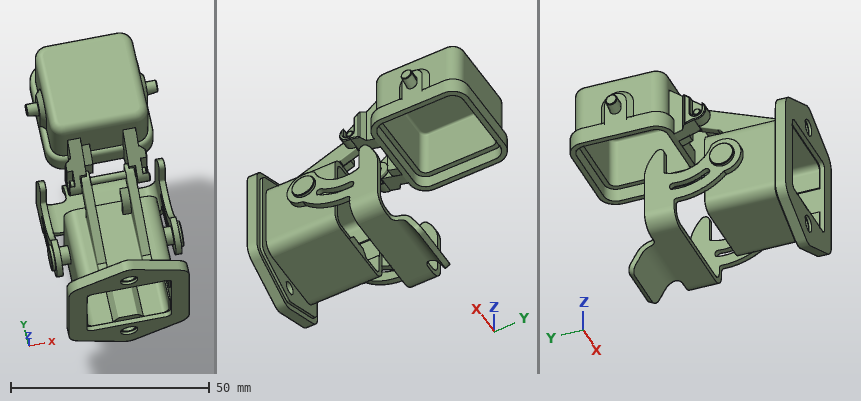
import cadquery as cq
import math


total_width = 33.9
total_depth = 60.7
lever_bottom = -23.2
total_height = 58.7
wall = 1.45
buried_overlap = wall / 2

flange_thickness = 2.8
flange_half_width = 15.5
flange_peak = 21.75
flange_shoulder = 14.45
peak_radius = 3.4
shoulder_radius = 4.25
pad_inset = 1.6
pad_height = 0.7
screw_offset = 15.05
screw_radius = 1.75
screw_recess_radius = 2.2
screw_recess_depth = 0.7

tube_half = 11.95
tube_radius = 3.2
tube_end = 23.45
window_half = 10.9
window_radius = 1.5
window_depth = 1.2
cavity_half = tube_half - wall
cavity_radius = 1.8
cavity_floor = -10.75
groove_half_height = 3.75
rib_base_half = 4.0
rib_top_half = 2.4
rib_height = 2.0

pivot_y = 16.95
pivot_radius = 2.35
pin_chamfer = 0.2
pivot_head_radius = 3.3
lever_half = 16.1
lever_sheet = 1.6
lever_boss_radius = 5.05
lever_front = 30.05
lever_back = 38.15
lever_underside = -16.5
lever_bend_radius = 4.5
arm_center = (28.65, 7.3)
arm_inner_radius = 9.35
arm_outer_radius = 17.3
slot_radius = 13.35
slot_half_width = 1.0
slot_start_angle = 237.0
slot_end_angle = 277.0
hook_inner = 32.8
hook_tip_z = 5.2
hook_tip_radius = 1.3
hook_tip_angle = 40.0
hook_back_z = -0.55
hook_back_middle = (37.05, 3.1)
hook_corner = 0.6
handle_half_width = 8.0
handle_bend_start = 38.7
handle_bend_radius = 5.45
handle_slope = 60.0
handle_corner = 2.1
handle_flare = 1.65

cover_center_y = 46.9
cover_top = lever_bottom + total_height
cover_bottom = 16.2
cover_half = 12.5
cover_radius = 3.35
cover_top_radius = 2.05
skirt_half = total_depth - cover_center_y
skirt_top = 21.4
skirt_step = skirt_half - cover_half
skirt_edge_radius = 1.05
lug_center_z = 26.25
lug_radius = 4.4
lug_taper = 47.0
peg_z = 25.3
peg_radius = 1.5
peg_end = 16.8
peg_root_drop = 1.0

hinge_y = 26.5
hinge_z = 20.65
hinge_radius = 2.7
hinge_pin_radius = 1.0
hinge_pin_half = 9.85
bracket_inner = 4.6
bracket_outer = 6.8
bracket_top_z = 15.0
bracket_top_angle = 112.0
bracket_foot_y = 20.85
bracket_slope_start = 6.1
bracket_corner = 1.1
bracket_corner_z = 15.8
edge_rounding = 0.25
root_fillet = 0.35
stop_inner = 2.5
stop_front = 19.6
stop_back = 23.8
stop_shoulder_z = 14.35
stop_top = 18.7
stop_tip_z = 17.0
stop_arc_middle = (20.45, 16.4)
stop_arc_end = (22.35, 18.0)
knuckle_inner = 5.45
knuckle_outer = 8.75
knuckle_wide = 10.45
knuckle_flare_y = 30.7
knuckle_wide_y = 29.6
knuckle_relief = 7.15
knuckle_slot_half = 1.6
hinge_step_y = 26.8
knuckle_top_z = 30.35
knuckle_top_angle = 125.0
knuckle_bottom_angle = 280.0
wedge_inner = 3.1
wedge_top_z = 25.7
wedge_end_y = 30.2
wedge_end_z = 22.3
wedge_foot_z = 17.2


def rounded_block(x_half, y_half, z_low, z_high, radius, y_center):
    """Upright block with rounded vertical edges."""
    return (
        cq.Workplane("XY", origin=(0, y_center, z_low))
        .rect(2 * x_half, 2 * y_half)
        .extrude(z_high - z_low)
        .edges("|Z")
        .fillet(radius)
    )


def plate(profile, x_low, x_high):
    """Extrude a closed (Y, Z) profile between two X positions."""
    return profile.extrude(x_high - x_low).translate((x_low, 0, 0))


def both_sides(shape):
    return shape.union(shape.mirror("YZ"))


def polar(center, radius, degrees):
    angle = math.radians(degrees)
    return (center[0] + radius * math.cos(angle), center[1] + radius * math.sin(angle))


def flange_outline():
    corners = [
        (0, flange_peak),
        (flange_half_width, flange_shoulder),
        (flange_half_width, -flange_shoulder),
        (0, -flange_peak),
        (-flange_half_width, -flange_shoulder),
        (-flange_half_width, flange_shoulder),
    ]
    return cq.Workplane("XZ").polyline(corners).close()


def flange_layer(inset, thickness):
    outline = flange_outline()
    if inset:
        outline = outline.offset2D(-inset)
    layer = outline.extrude(-thickness)
    layer = layer.edges("|Y").edges("<Z or >Z").fillet(peak_radius - inset)
    return layer.edges("|Y").edges("<X or >X").fillet(shoulder_radius - inset)


def make_flange():
    """Six-sided mounting flange with a raised pad behind it."""
    return flange_layer(0, flange_thickness).union(flange_layer(pad_inset, flange_thickness + pad_height))


def rounded_square_bar(x_half, z_low, z_high, radius, y_low, y_high):
    return (
        cq.Workplane("XZ", origin=(0, y_low, (z_low + z_high) / 2))
        .rect(2 * x_half, z_high - z_low)
        .extrude(y_low - y_high)
        .edges("|Y")
        .fillet(radius)
    )


def make_housing():
    body = make_flange().union(
        rounded_square_bar(tube_half, -tube_half, tube_half, tube_radius, 0, tube_end)
    )
    body = body.cut(
        rounded_square_bar(window_half, -window_half, window_half, window_radius, 0, window_depth)
    )
    body = body.cut(
        rounded_square_bar(cavity_half, cavity_floor, cavity_half, cavity_radius, 0, tube_end)
    )
    body = body.cut(
        cq.Workplane("XZ").rect(2 * window_half, 2 * groove_half_height).extrude(-tube_end)
    )
    rib = (
        cq.Workplane("XZ", origin=(0, window_depth, -window_half))
        .polyline([
            (-rib_base_half, -buried_overlap),
            (-rib_base_half, 0),
            (-rib_top_half, rib_height),
            (rib_top_half, rib_height),
            (rib_base_half, 0),
            (rib_base_half, -buried_overlap),
        ])
        .close()
        .extrude(window_depth - tube_end)
        .faces(">Z")
        .edges("|Y")
        .fillet(edge_rounding)
    )
    body = body.union(rib)
    for z in (-screw_offset, screw_offset):
        hole_start = cq.Workplane("XZ", origin=(0, 0, z))
        body = body.cut(hole_start.circle(screw_radius).extrude(-flange_thickness - pad_height))
        body = body.cut(hole_start.circle(screw_recess_radius).extrude(-screw_recess_depth))
    return body


def make_brackets():
    pin = (hinge_y, hinge_z)
    root_y = flange_thickness
    profile = (
        cq.Workplane("YZ")
        .moveTo(root_y, tube_half - buried_overlap)
        .lineTo(root_y, bracket_top_z)
        .lineTo(bracket_slope_start, bracket_top_z)
        .lineTo(*polar(pin, hinge_radius, bracket_top_angle))
        .threePointArc(polar(pin, hinge_radius, 0), polar(pin, hinge_radius, bracket_top_angle - 180))
        .lineTo(bracket_foot_y + bracket_corner, bracket_corner_z)
        .radiusArc((bracket_foot_y, bracket_corner_z - bracket_corner), -bracket_corner)
        .lineTo(bracket_foot_y, tube_half - buried_overlap)
        .close()
    )
    bracket = plate(profile, bracket_inner, bracket_outer)
    bracket = bracket.faces("<X or >X").edges().fillet(edge_rounding)
    thinning = cq.Workplane("XY").box(
        bracket_outer - knuckle_inner, 2 * hinge_radius, 4 * hinge_radius, centered=(False, False, True)
    ).translate((knuckle_inner, hinge_step_y, hinge_z))
    return both_sides(bracket.cut(thinning))


def make_stop():
    """Rounded stop beside the inner face of the +X bracket."""
    profile = (
        cq.Workplane("YZ")
        .moveTo(stop_front, tube_half - buried_overlap)
        .lineTo(stop_front, stop_shoulder_z)
        .threePointArc(stop_arc_middle, stop_arc_end)
        .lineTo(stop_back, stop_top)
        .lineTo(stop_back, stop_tip_z)
        .lineTo(bracket_foot_y, bracket_corner_z)
        .lineTo(bracket_foot_y, tube_half - buried_overlap)
        .close()
    )
    return plate(profile, stop_inner, bracket_inner)


def circle_crossing(center, radius, side):
    """Crossing of a circle about `center` with the pivot boss, on the +1 or -1 side."""
    span = math.hypot(center[0] - pivot_y, center[1])
    cosine = (span**2 + lever_boss_radius**2 - radius**2) / (2 * span * lever_boss_radius)
    toward = math.degrees(math.atan2(center[1], center[0] - pivot_y))
    return polar((pivot_y, 0), lever_boss_radius, toward + side * math.degrees(math.acos(cosine)))


def arc_height(radius, y):
    """Z of the lower half of a circle about the arm center at a given Y."""
    return arm_center[1] - math.sqrt(radius**2 - (y - arm_center[0]) ** 2)


def make_lever_cheek():
    bend_top = lever_underside + lever_bend_radius
    tip = (hook_inner + hook_tip_radius, hook_tip_z)
    inner_join = circle_crossing(arm_center, arm_inner_radius, 1)
    outer_join = circle_crossing(arm_center, arm_outer_radius, -1)
    profile = (
        cq.Workplane("YZ")
        .moveTo(lever_back, bend_top)
        .lineTo(lever_back, hook_back_z)
        .threePointArc(hook_back_middle, polar(tip, hook_tip_radius, hook_tip_angle))
        .threePointArc(polar(tip, hook_tip_radius, 90), polar(tip, hook_tip_radius, 180))
        .lineTo(hook_inner, arc_height(arm_inner_radius, hook_inner))
        .threePointArc((arm_center[0], arm_center[1] - arm_inner_radius), inner_join)
        .threePointArc((pivot_y - lever_boss_radius, 0), outer_join)
        .threePointArc(
            (arm_center[0], arm_center[1] - arm_outer_radius),
            (lever_front, arc_height(arm_outer_radius, lever_front)),
        )
        .lineTo(lever_front, bend_top)
        .close()
    )
    cheek = plate(profile, lever_half - lever_sheet, lever_half)
    for y, radius in ((hook_inner, arm_inner_radius), (lever_front, arm_outer_radius)):
        corner = cq.selectors.NearestToPointSelector(
            (lever_half - lever_sheet / 2, y, arc_height(radius, y))
        )
        cheek = cheek.edges("|X").edges(corner).fillet(hook_corner)
    middle_angle = (slot_start_angle + slot_end_angle) / 2
    low = slot_radius - slot_half_width
    high = slot_radius + slot_half_width
    start_cap = polar(arm_center, slot_radius, slot_start_angle)
    end_cap = polar(arm_center, slot_radius, slot_end_angle)
    slot = (
        cq.Workplane("YZ")
        .moveTo(*polar(arm_center, low, slot_start_angle))
        .threePointArc(polar(arm_center, low, middle_angle), polar(arm_center, low, slot_end_angle))
        .threePointArc(
            polar(end_cap, slot_half_width, slot_end_angle + 90), polar(arm_center, high, slot_end_angle)
        )
        .threePointArc(polar(arm_center, high, middle_angle), polar(arm_center, high, slot_start_angle))
        .threePointArc(
            polar(start_cap, slot_half_width, slot_start_angle - 90),
            polar(arm_center, low, slot_start_angle),
        )
        .close()
    )
    return cheek.cut(plate(slot, 0, lever_half))


def make_lever_bridge():
    """Bent U strip that joins the two cheeks below the tube."""
    bend_top = lever_underside + lever_bend_radius

    def u_block(half, bottom, radius):
        return (
            cq.Workplane("XZ", origin=(0, lever_front, (bottom + bend_top + radius) / 2))
            .rect(2 * half, bend_top + radius - bottom)
            .extrude(lever_front - lever_back)
            .edges("|Y and <Z")
            .fillet(radius)
        )

    inner = u_block(
        lever_half - lever_sheet, lever_underside + lever_sheet, lever_bend_radius - lever_sheet
    )
    above = (
        cq.Workplane("XY", origin=(0, 0, bend_top))
        .rect(2 * total_width, 2 * total_depth)
        .extrude(total_height)
    )
    return u_block(lever_half, lever_underside, lever_bend_radius).cut(inner).cut(above)


def make_handle():
    upper = lever_underside + lever_sheet
    bend = (handle_bend_start, upper - handle_bend_radius)
    inner_radius = handle_bend_radius - lever_sheet
    finish = 90 - handle_slope
    middle = 90 - handle_slope / 2
    outer_end = polar(bend, handle_bend_radius, finish)
    inner_end = polar(bend, inner_radius, finish)
    length = (inner_end[1] - lever_bottom) / math.sin(math.radians(handle_slope))
    profile = (
        cq.Workplane("YZ")
        .moveTo(lever_back - lever_sheet, upper)
        .lineTo(handle_bend_start, upper)
        .threePointArc(polar(bend, handle_bend_radius, middle), outer_end)
        .lineTo(*polar(outer_end, length, -handle_slope))
        .lineTo(*polar(inner_end, length, -handle_slope))
        .lineTo(*inner_end)
        .threePointArc(polar(bend, inner_radius, middle), (handle_bend_start, lever_underside))
        .lineTo(lever_back - lever_sheet, lever_underside)
        .close()
    )
    flare_half_width = handle_half_width + handle_flare
    half_plan = (
        cq.Workplane("XY", origin=(0, 0, lever_bottom))
        .moveTo(0, lever_back - lever_sheet)
        .lineTo(flare_half_width, lever_back - lever_sheet)
        .lineTo(flare_half_width, lever_back)
        .radiusArc((handle_half_width, lever_back + handle_flare), handle_flare)
        .lineTo(handle_half_width, total_depth)
        .lineTo(0, total_depth)
        .close()
        .extrude(total_height)
    )
    handle = plate(profile, -lever_half, lever_half).intersect(both_sides(half_plan))
    end_face = cq.selectors.DirectionMinMaxSelector(
        cq.Vector(0, math.cos(math.radians(handle_slope)), -math.sin(math.radians(handle_slope)))
    )
    return handle.faces(end_face).edges("not |X").fillet(handle_corner)


def make_lever():
    pivot_half = total_width / 2
    shaft = (
        cq.Workplane("YZ", origin=(tube_half - buried_overlap, pivot_y, 0))
        .circle(pivot_radius)
        .extrude(lever_half - tube_half + buried_overlap)
    )
    head = (
        cq.Workplane("YZ", origin=(lever_half, pivot_y, 0))
        .circle(pivot_head_radius)
        .extrude(pivot_half - lever_half)
        .faces(">X")
        .chamfer(pin_chamfer)
    )
    sides = both_sides(make_lever_cheek().union(shaft).union(head))
    return sides.union(make_lever_bridge()).union(make_handle())


def make_cover_shell():
    """Stepped cap of even wall thickness, open below so its skirt slips over the tube."""
    def stepped_cap(inset):
        cap = rounded_block(
            cover_half - inset, cover_half - inset, cover_bottom, cover_top - inset,
            cover_radius - inset, cover_center_y,
        ).faces(">Z").edges().fillet(cover_top_radius - inset)
        skirt = rounded_block(
            skirt_half - inset, skirt_half - inset, cover_bottom, skirt_top - inset,
            cover_radius + skirt_step - inset, cover_center_y,
        )
        if inset == 0:
            skirt = skirt.faces(">Z").edges().fillet(skirt_edge_radius)
        return cap.union(skirt)

    return stepped_cap(0), stepped_cap(wall)


def make_cover_lug():
    """Tapered side lug, rounded on top, that carries the locking peg."""
    lug_bottom = cover_bottom + lug_radius / 2
    lug = (
        cq.Workplane("YZ", origin=(cover_half, cover_center_y, 0))
        .moveTo(-lug_radius, lug_bottom)
        .lineTo(-lug_radius, lug_center_z)
        .threePointArc((0, lug_center_z + lug_radius), (lug_radius, lug_center_z))
        .lineTo(lug_radius, lug_bottom)
        .close()
        .extrude(skirt_step, taper=lug_taper)
    )
    peg = (
        cq.Workplane("YZ", origin=(cover_half, cover_center_y, peg_z))
        .circle(peg_radius)
        .extrude(peg_end - cover_half)
        .faces(">X")
        .chamfer(pin_chamfer)
    )
    support = (
        cq.Workplane("YZ", origin=(skirt_half, cover_center_y, peg_z - peg_root_drop))
        .circle(peg_radius)
        .workplane(offset=peg_end - pin_chamfer - skirt_half)
        .center(0, peg_root_drop)
        .circle(peg_radius)
        .loft(ruled=True)
    )
    return lug.union(peg).union(support)


def make_knuckle():
    """Stepped hinge arm on the cover, with an open slot around the end of the hinge pin."""
    pin = (hinge_y, hinge_z)
    root_y = cover_center_y - cover_half + buried_overlap
    profile = (
        cq.Workplane("YZ")
        .moveTo(root_y, knuckle_top_z)
        .lineTo(cover_center_y - cover_half, knuckle_top_z)
        .lineTo(*polar(pin, hinge_radius, knuckle_top_angle))
        .threePointArc(polar(pin, hinge_radius, 180), polar(pin, hinge_radius, knuckle_bottom_angle))
        .lineTo(cover_center_y - skirt_half, cover_bottom)
        .lineTo(root_y, cover_bottom)
        .close()
    )
    end_y = hinge_y - hinge_radius
    plan = (
        cq.Workplane("XY")
        .polyline([
            (knuckle_inner, root_y),
            (knuckle_outer, root_y),
            (knuckle_outer, knuckle_flare_y),
            (knuckle_wide, knuckle_wide_y),
            (knuckle_wide, end_y),
            (knuckle_relief, end_y),
            (knuckle_relief, hinge_step_y),
            (knuckle_inner, hinge_step_y),
        ])
        .close()
        .extrude(total_depth)
    )
    slot = (
        cq.Workplane("YZ")
        .moveTo(hinge_y - knuckle_slot_half, knuckle_top_z)
        .lineTo(hinge_y - knuckle_slot_half, hinge_z)
        .threePointArc((hinge_y, hinge_z - knuckle_slot_half), (hinge_y + knuckle_slot_half, hinge_z))
        .lineTo(hinge_y + knuckle_slot_half, knuckle_top_z)
        .close()
    )
    arm = plate(profile, knuckle_inner, knuckle_wide).intersect(plan)
    arm = arm.cut(plate(slot, knuckle_outer, knuckle_wide))
    return arm.faces(">X").edges().chamfer(edge_rounding)


def make_wedge():
    """Sloping stop beside the inner face of the -X knuckle."""
    root_y = cover_center_y - cover_half + buried_overlap
    face_y = cover_center_y - cover_half
    profile = (
        cq.Workplane("YZ")
        .polyline([
            (root_y, wedge_top_z),
            (face_y, wedge_top_z),
            (wedge_end_y, wedge_end_z),
            (wedge_end_y, wedge_foot_z),
            (cover_center_y - skirt_half, cover_bottom),
            (root_y, cover_bottom),
        ])
        .close()
    )
    return plate(profile, -knuckle_inner, -wedge_inner)


def make_cover():
    shell, cavity = make_cover_shell()
    cover = shell.union(both_sides(make_cover_lug().union(make_knuckle())))
    return cover.union(make_wedge()).cut(cavity)


def make_hinge_pin():
    return (
        cq.Workplane("YZ", origin=(-hinge_pin_half, hinge_y, hinge_z))
        .circle(hinge_pin_radius)
        .extrude(2 * hinge_pin_half)
        .faces("<X or >X")
        .chamfer(pin_chamfer)
    )


bracket_roots = cq.selectors.BoxSelector(
    (-bracket_outer - root_fillet, flange_thickness, tube_half - root_fillet),
    (bracket_outer + root_fillet, bracket_foot_y, tube_half + root_fillet),
)
result = make_housing().union(make_brackets())
result = result.edges("|Y").edges(bracket_roots).fillet(root_fillet)
for piece in (make_stop(), make_lever(), make_hinge_pin(), make_cover()):
    result = result.union(piece)